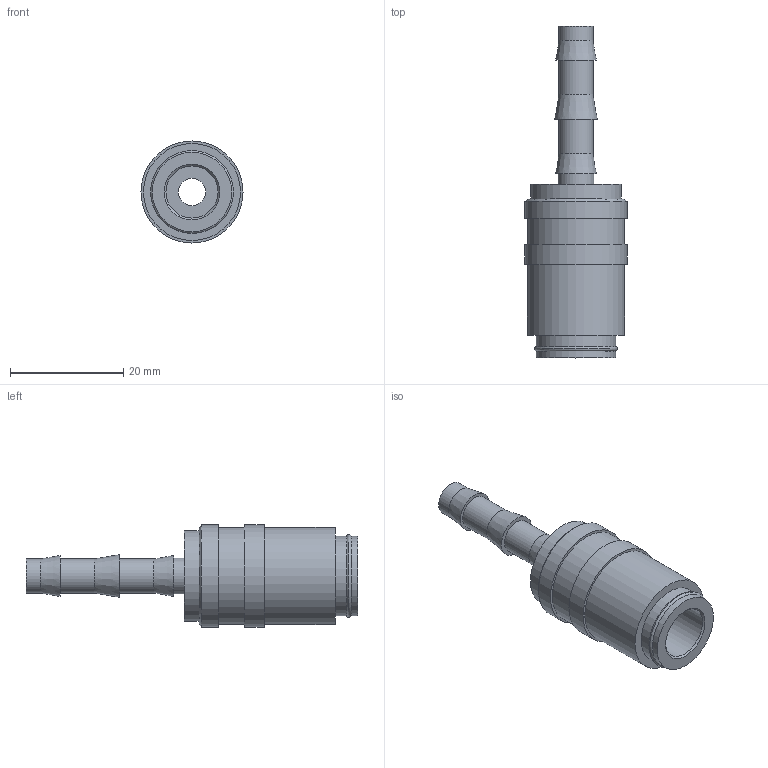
import cadquery as cq


overall_length = 58.5

nose_diameter = 14.0
nose_length = 4.0
ring_wire_radius = 0.4
ring_center_radius = 6.9
ring_center_y = 1.6

sleeve_diameter = 17.1
collar_diameter = 18.0
front_collar_start = 16.5
front_collar_end = 20.0
rear_collar_start = 24.6
sleeve_end = 28.0
collar_chamfer = 0.4

flange_diameter = 16.0
flange_end = 30.6
neck_diameter = 6.3
stem_diameter = 6.0

small_barb_length = 3.5
small_barb_diameter = 7.2
large_barb_length = 4.4
large_barb_diameter = 7.5
inner_barb_y = 32.5
middle_barb_y = 42.1
outer_barb_y = 52.5
barbs = [
    (inner_barb_y, small_barb_length, small_barb_diameter),
    (middle_barb_y, large_barb_length, large_barb_diameter),
    (outer_barb_y, small_barb_length, small_barb_diameter),
]

passage_diameter = 4.8
socket_diameter = 9.2
socket_depth = 20.0
mouth_chamfer = 0.3


def cylinder(diameter, start, end):
    """Solid cylinder on the Y axis between two Y stations."""
    plane = cq.Workplane("XZ", origin=(0, start, 0))
    return plane.circle(diameter / 2).extrude(start - end)


def cone(start_diameter, end_diameter, start, length):
    """Solid truncated cone on the Y axis, running toward +Y."""
    solid = cq.Solid.makeCone(
        start_diameter / 2,
        end_diameter / 2,
        length,
        pnt=cq.Vector(0, start, 0),
        dir=cq.Vector(0, 1, 0),
    )
    return cq.Workplane(obj=solid)


def make_snap_ring():
    """Round-wire ring, about half sunk into the nose."""
    solid = cq.Solid.makeTorus(
        ring_center_radius,
        ring_wire_radius,
        cq.Vector(0, ring_center_y, 0),
        cq.Vector(0, 1, 0),
    )
    return cq.Workplane(obj=solid)


def make_socket_body():
    """Nose, sleeve, collars and rear flange."""
    body = cylinder(nose_diameter, 0, nose_length)
    body = body.union(make_snap_ring())
    body = body.union(cylinder(sleeve_diameter, nose_length, rear_collar_start))
    body = body.union(cylinder(collar_diameter, front_collar_start, front_collar_end))
    rear_collar = cylinder(collar_diameter, rear_collar_start, sleeve_end)
    body = body.union(rear_collar.faces(">Y").chamfer(collar_chamfer))
    return body.union(cylinder(flange_diameter, sleeve_end, flange_end))


def make_hose_stem():
    """Neck and plain stem with barbs that taper toward the hose end."""
    stem = cylinder(neck_diameter, flange_end, inner_barb_y)
    stem = stem.union(cylinder(stem_diameter, inner_barb_y, overall_length))
    for shoulder_y, length, diameter in barbs:
        stem = stem.union(cone(diameter, stem_diameter, shoulder_y, length))
    return stem


def cut_bores(part):
    """Through passage, wide socket bore and its chamfered mouth."""
    part = part.cut(cylinder(passage_diameter, 0, overall_length))
    part = part.cut(cylinder(socket_diameter, 0, socket_depth))
    mouth_diameter = socket_diameter + 2 * mouth_chamfer
    return part.cut(cone(mouth_diameter, socket_diameter, 0, mouth_chamfer))


result = cut_bores(make_socket_body().union(make_hose_stem()))